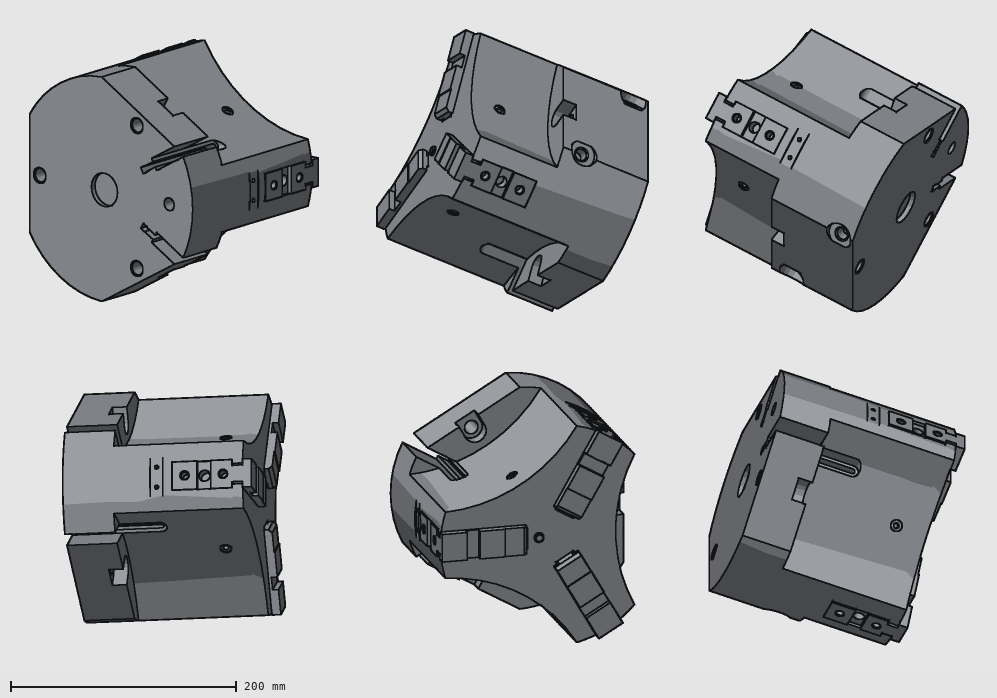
import cadquery as cq


HOUSING_RADIUS = 103.0
HOUSING_LENGTH = 162.0
COVER_THICKNESS = 9.5
COVER_START = HOUSING_LENGTH - COVER_THICKNESS
FLAT_DISTANCE = 87.5
SCALLOP_RADIUS = 148.2
SCALLOP_DISTANCE = 58.3

SIDE_STEPS = {60: 45.3, 180: 85.2, 300: 45.3}
JAW_ANGLES = (0, 120, 240)
SENSOR_FLAT_ANGLES = (0, 120)
CABLE_SLOT_ANGLES = (30, -30)
PORT_POSITIONS = {150: 14.8, 210: 64.2}

MOUNT_CIRCLE_RADIUS = 75.5
MOUNT_HOLE_RADIUS = 6.2
MOUNT_HOLE_CHAMFER = 1.0
BLIND_HOLE_RADIUS = 5.8
BLIND_HOLE_DEPTH = 24.7
DRILL_TIP_DEPTH = 2.5
CENTRE_RECESS_RADIUS = 15.2
CENTRE_RECESS_DEPTH = 5.0

SCREW_SEAT_RADIUS = 10.0
SCREW_SEAT_DEPTH = 13.0
BLEED_Y = 133.5
BLEED_RADIUS = 2.5
BLEED_DEPTH = 8.2
BLEED_RECESS_RADIUS = 5.1
BLEED_RECESS_DEPTH = 1.2
PORT_FACE_DISTANCE = 95.0
PORT_FACE_RADIUS = 12.5
PORT_RADIUS = 5.4
PORT_CHAMFER = 1.2
PORT_DEPTH = 13.0
SENSOR_FLAT_DISTANCE = 101.5
SENSOR_FLAT_WIDTH = 11.5
SENSOR_FLAT_Y = 84.5
SENSOR_HOLE_RADIUS = 1.6
SENSOR_HOLE_SPREAD = 9.0
SENSOR_HOLE_DEPTH = 8.2
CABLE_SLOT_WIDTH = 11.7
CABLE_SLOT_START = 67.0
CABLE_SLOT_END_Y = 86.5
CABLE_GROOVE_WIDTH = 5.1
CABLE_GROOVE_START = 55.4
CABLE_GROOVE_END_Y = 83.2
CABLE_END_WIDTH = 6.0
CABLE_END_START = 50.6
BUTTON_X = 12.4
BUTTON_RADIUS = 4.3
BUTTON_HEIGHT = 2.5
BUTTON_CHAMFER = 1.2

JAW_WIDTH = 25.5
JAW_INNER = 24.7
JAW_OUTER = 103.5
JAW_TOP = 170.0
JAW_FOOT_START = 98.6
JAW_NECK_WIDTH = 14.8
NECK_CLEARANCE = 2.0
JAW_STEP_END = 45.5
JAW_STEP_DROP = 0.8
JAW_NOSE_CHAMFER = 3.0
KEYWAY_CENTRE = 74.5
KEYWAY_WIDTH = 11.7
KEYWAY_DEPTH = 5.4
END_POCKET_Y = 127.2
END_POCKET_WIDTH = 12.4
END_POCKET_DEPTH = 4.1
POCKET_HOLE_RADIUS = 5.0
PAD_HOLE_RADIUS = 3.3
PAD_HOLE_CHAMFER = 0.8
PAD_HOLE_OFFSET = 17.3
JAW_HOLE_DEPTH = 12.4

BEYOND = 2 * HOUSING_RADIUS


def turned(shape, angle):
    """Turn a shape about the gripper axis from +X towards +Z."""
    return shape.rotate((0, 0, 0), (0, 1, 0), -angle)


def block(x_range, y_range, width):
    """A block centred on the XY plane, with the given width along Z."""
    x0, x1 = x_range
    y0, y1 = y_range
    return cq.Workplane("XY").box(x1 - x0, y1 - y0, width).translate(((x0 + x1) / 2, (y0 + y1) / 2, 0))


def axial_cylinder(x, y_range, radius):
    """A cylinder parallel to the gripper axis."""
    y0, y1 = y_range
    return cq.Workplane("XZ", origin=(x, y0, 0)).circle(radius).extrude(y0 - y1)


def radial_cylinder(x_range, y, z, radius):
    """A cylinder parallel to X."""
    x0, x1 = x_range
    return cq.Workplane("YZ", origin=(x0, y, z)).circle(radius).extrude(x1 - x0)


def chamfered_radial_hole(face_x, y, radius, chamfer, depth):
    """A hole going inwards from a face across X, with a chamfered mouth."""
    hole = radial_cylinder((face_x - depth, face_x), y, 0, radius)
    mouth = (
        cq.Workplane("XY", origin=(0, y, 0))
        .polyline([(face_x, 0), (face_x, radius + chamfer), (face_x - chamfer, radius), (face_x - chamfer, 0)])
        .close()
        .revolve(360, (0, 0, 0), (1, 0, 0))
    )
    return hole.union(mouth)


def side_cut(step_y):
    """The flat, scallop and holes of one side whose step lies at step_y."""
    flat = block((FLAT_DISTANCE, BEYOND), (0, step_y), BEYOND)
    scallop = axial_cylinder(SCALLOP_DISTANCE + SCALLOP_RADIUS, (step_y, HOUSING_LENGTH), SCALLOP_RADIUS)
    seat_range = (step_y - SCREW_SEAT_DEPTH, step_y)
    screw_seat = axial_cylinder(MOUNT_CIRCLE_RADIUS, seat_range, SCREW_SEAT_RADIUS).union(
        block((MOUNT_CIRCLE_RADIUS, BEYOND), seat_range, 2 * SCREW_SEAT_RADIUS)
    )
    mount_hole = (
        axial_cylinder(MOUNT_CIRCLE_RADIUS, (0, step_y), MOUNT_HOLE_RADIUS)
        .faces("<Y")
        .workplane()
        .circle(MOUNT_HOLE_RADIUS + MOUNT_HOLE_CHAMFER)
        .workplane(offset=-MOUNT_HOLE_CHAMFER)
        .circle(MOUNT_HOLE_RADIUS)
        .loft(combine=True)
    )
    bleed_end = SCALLOP_DISTANCE + BLEED_RECESS_RADIUS
    bleed = radial_cylinder((SCALLOP_DISTANCE - BLEED_DEPTH, bleed_end), BLEED_Y, 0, BLEED_RADIUS)
    bleed_recess = radial_cylinder(
        (SCALLOP_DISTANCE - BLEED_RECESS_DEPTH, bleed_end), BLEED_Y, 0, BLEED_RECESS_RADIUS
    )
    return [flat, scallop, screw_seat, mount_hole, bleed, bleed_recess]


def sensor_flat():
    """A shallow flat across the outer wall below a jaw, with two small holes."""
    half = SENSOR_FLAT_WIDTH / 2
    cuts = [block((SENSOR_FLAT_DISTANCE, BEYOND), (SENSOR_FLAT_Y - half, SENSOR_FLAT_Y + half), BEYOND)]
    for z in (-SENSOR_HOLE_SPREAD, SENSOR_HOLE_SPREAD):
        hole_range = (SENSOR_FLAT_DISTANCE - SENSOR_HOLE_DEPTH, SENSOR_FLAT_DISTANCE)
        cuts.append(radial_cylinder(hole_range, SENSOR_FLAT_Y, z, SENSOR_HOLE_RADIUS))
    return cuts


def round_ended_slot(start_x, width, end_y):
    """A slot open at the mounting face, with a full-round end at end_y."""
    radius = width / 2
    straight = block((start_x, BEYOND), (0, end_y - radius), width)
    return straight.union(radial_cylinder((start_x, BEYOND), end_y - radius, 0, radius))


def cable_slot():
    """The radial cable slot, its narrower groove and the slightly wider groove end."""
    slot = round_ended_slot(CABLE_SLOT_START, CABLE_SLOT_WIDTH, CABLE_SLOT_END_Y)
    groove = round_ended_slot(CABLE_GROOVE_START, CABLE_GROOVE_WIDTH, CABLE_GROOVE_END_Y)
    groove_end = round_ended_slot(CABLE_END_START, CABLE_END_WIDTH, CABLE_GROOVE_END_Y).intersect(
        block((CABLE_END_START, CABLE_GROOVE_START), (0, CABLE_GROOVE_END_Y), CABLE_END_WIDTH)
    )
    return [slot, groove, groove_end]


def air_port(y):
    """A spot-faced air port."""
    spot_face = radial_cylinder((PORT_FACE_DISTANCE, BEYOND), y, 0, PORT_FACE_RADIUS)
    hole = chamfered_radial_hole(PORT_FACE_DISTANCE, y, PORT_RADIUS, PORT_CHAMFER, PORT_DEPTH)
    return [spot_face, hole]


def blind_hole():
    """The drilled blind hole in the mounting face, with its conical bottom."""
    outline = [
        (0, 0),
        (BLIND_HOLE_RADIUS, 0),
        (BLIND_HOLE_RADIUS, BLIND_HOLE_DEPTH),
        (0, BLIND_HOLE_DEPTH + DRILL_TIP_DEPTH),
    ]
    hole = cq.Workplane("XY").polyline(outline).close().revolve(360, (0, 0, 0), (0, 1, 0))
    return hole.translate((MOUNT_CIRCLE_RADIUS, 0, 0))


def jaw_guide():
    """The T-shaped guide for one jaw: a close fit on the foot, clear of the neck."""
    foot = block((JAW_INNER, BEYOND), (JAW_FOOT_START, COVER_START), JAW_WIDTH)
    neck = block(
        (JAW_INNER - NECK_CLEARANCE, BEYOND),
        (COVER_START, HOUSING_LENGTH),
        JAW_NECK_WIDTH + 2 * NECK_CLEARANCE,
    )
    return [foot, neck]


def make_housing():
    cuts = [axial_cylinder(0, (0, CENTRE_RECESS_DEPTH), CENTRE_RECESS_RADIUS), blind_hole()]
    for angle, step_y in SIDE_STEPS.items():
        cuts += [turned(cut, angle) for cut in side_cut(step_y)]
    for angle in JAW_ANGLES:
        cuts += [turned(cut, angle) for cut in jaw_guide()]
    for angle in SENSOR_FLAT_ANGLES:
        cuts += [turned(cut, angle) for cut in sensor_flat()]
    for angle in CABLE_SLOT_ANGLES:
        cuts += [turned(cut, angle) for cut in cable_slot()]
    for angle, y in PORT_POSITIONS.items():
        cuts += [turned(cut, angle) for cut in air_port(y)]

    barrel = axial_cylinder(0, (0, COVER_START), HOUSING_RADIUS)
    cover = axial_cylinder(0, (COVER_START, HOUSING_LENGTH), HOUSING_RADIUS)
    for cut in cuts:
        barrel = barrel.cut(cut)
        cover = cover.cut(cut)
    button = axial_cylinder(BUTTON_X, (HOUSING_LENGTH, HOUSING_LENGTH + BUTTON_HEIGHT), BUTTON_RADIUS)
    cover = cover.union(button.faces(">Y").chamfer(BUTTON_CHAMFER))
    return barrel.union(cover, clean=False)


def make_jaw(angle):
    nose_top = JAW_TOP - JAW_STEP_DROP
    head_outline = [
        (JAW_INNER, HOUSING_LENGTH),
        (JAW_OUTER, HOUSING_LENGTH),
        (JAW_OUTER, JAW_TOP),
        (JAW_STEP_END, JAW_TOP),
        (JAW_STEP_END, nose_top),
        (JAW_INNER + JAW_NOSE_CHAMFER, nose_top),
        (JAW_INNER, nose_top - JAW_NOSE_CHAMFER),
    ]
    head = cq.Workplane("XY").polyline(head_outline).close().extrude(JAW_WIDTH / 2, both=True)
    neck = block((JAW_INNER, JAW_OUTER), (COVER_START, HOUSING_LENGTH), JAW_NECK_WIDTH)
    foot = block((JAW_INNER, JAW_OUTER), (JAW_FOOT_START, COVER_START), JAW_WIDTH)
    jaw = foot.union(neck).union(head)

    keyway_sides = (KEYWAY_CENTRE - KEYWAY_WIDTH / 2, KEYWAY_CENTRE + KEYWAY_WIDTH / 2)
    jaw = jaw.cut(block(keyway_sides, (JAW_TOP - KEYWAY_DEPTH, JAW_TOP), JAW_WIDTH))

    floor_x = JAW_OUTER - END_POCKET_DEPTH
    pocket_sides = (END_POCKET_Y - END_POCKET_WIDTH / 2, END_POCKET_Y + END_POCKET_WIDTH / 2)
    jaw = jaw.cut(block((floor_x, JAW_OUTER), pocket_sides, JAW_WIDTH))
    jaw = jaw.cut(radial_cylinder((floor_x - JAW_HOLE_DEPTH, floor_x), END_POCKET_Y, 0, POCKET_HOLE_RADIUS))
    for y in (END_POCKET_Y - PAD_HOLE_OFFSET, END_POCKET_Y + PAD_HOLE_OFFSET):
        jaw = jaw.cut(chamfered_radial_hole(JAW_OUTER, y, PAD_HOLE_RADIUS, PAD_HOLE_CHAMFER, JAW_HOLE_DEPTH))
    return turned(jaw, angle)


housing = make_housing()
jaws = [make_jaw(angle) for angle in JAW_ANGLES]

result = cq.Compound.makeCompound([*housing.solids().vals(), *[jaw.solids().val() for jaw in jaws]])